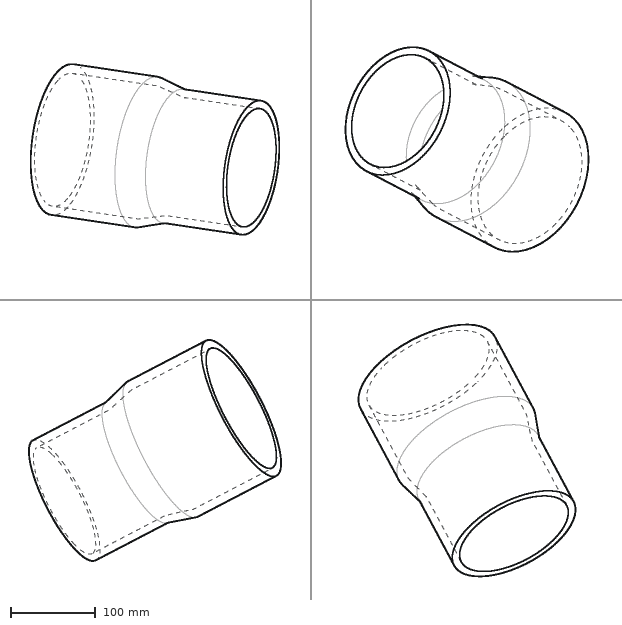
import cadquery as cq

large_length = 109.0
taper_length = 35.0
small_length = 101.0
total_length = large_length + taper_length + small_length

large_outer_diameter = 180.0
large_bore_diameter = 158.6
small_outer_diameter = 160.0
small_bore_diameter = 141.0

start_x = -total_length / 2
taper_start_x = start_x + large_length
taper_end_x = taper_start_x + taper_length
end_x = total_length / 2


def stepped_body(large_diameter, small_diameter):
    """Solid of revolution about X: large cylinder, taper, small cylinder."""
    large_radius = large_diameter / 2
    small_radius = small_diameter / 2
    half_profile = (
        cq.Workplane("XZ")
        .moveTo(start_x, 0)
        .lineTo(start_x, large_radius)
        .lineTo(taper_start_x, large_radius)
        .lineTo(taper_end_x, small_radius)
        .lineTo(end_x, small_radius)
        .lineTo(end_x, 0)
        .close()
    )
    return half_profile.revolve(360, (0, 0, 0), (1, 0, 0))


outer_body = stepped_body(large_outer_diameter, small_outer_diameter)
bore = stepped_body(large_bore_diameter, small_bore_diameter)

result = outer_body.cut(bore)